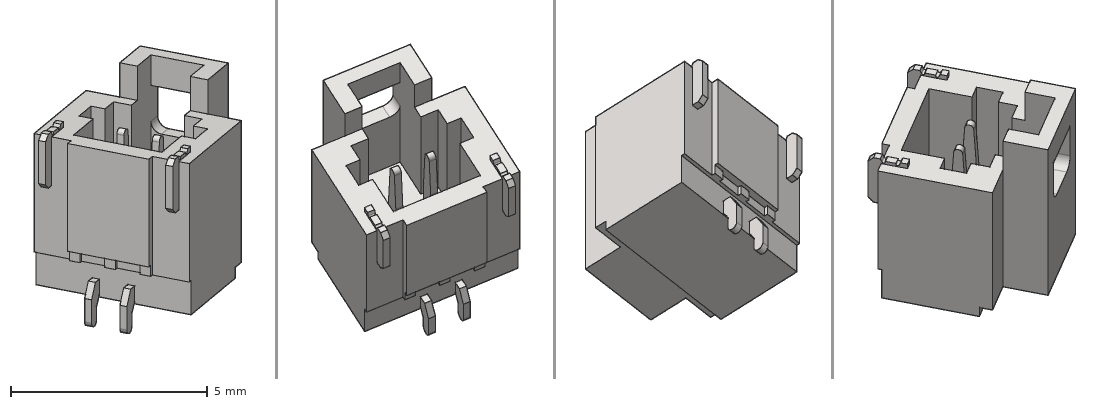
import cadquery as cq


body_width = 4.4
body_depth = 3.05
body_top = 4.25
base_setback = 0.1
base_back = 2.7
base_top = 0.95
skirt_bottom = 0.3
tower_width = 2.5
tower_back = 4.25
tower_top = 5.2

wall = 0.35
cavity_floor = base_top
cavity_width = tower_width
cavity_back = base_back
key_slot_width = 3.3
key_slot_front = 1.5
key_slot_back = 2.2
latch_slot_width = 1.5
latch_slot_back = 3.85

window_bottom = 3.05
window_top = 4.35
window_corner_radius = 0.3

pad_width = 2.3
pad_height = 0.2
pad_bottom = 1.25
block_count = 3
block_width = 0.3
block_height = 0.1
block_pitch = (pad_width - block_width) / (block_count - 1)

solder_plane = -0.35
stamping_width = 0.2

tab_spacing = 3.6
tab_bottom = 2.9
tab_back = 0.7
tab_top = body_top + 0.15
tab_chamfer = 0.15
tab_middle_top = body_top + 0.1
groove_bottom = body_top + 0.035
groove_tangent = body_top + 0.06
groove_centre_line = 0.2525
groove_inner = 0.1475
groove_lowest = 0.1925
groove_slope_end = 0.2275
groove_outer = 0.2725

contact_pitch = 1.0
pin_centre_y = 1.67
pin_depth = 0.4
pin_tip_radius = 0.12
pin_tip = 4.05
pin_taper_start = 2.6
arm_bottom = 0.05
arm_top = 0.5
foot_shoulder = -0.13
foot_face_top = 0.1
foot_inner = solder_plane + 0.3
foot_inner_top = -0.2
foot_end = -0.7


def block(width, y_front, y_back, z_bottom, z_top, x_centre=0):
    """Box centred on x_centre, given by its Y and Z limits."""
    size = (width, y_back - y_front, z_top - z_bottom)
    solid = cq.Workplane("XY").box(*size, centered=(True, False, False))
    return solid.translate((x_centre, y_front, z_bottom))


def stamp(profile, x_centre):
    """Give a closed YZ profile the sheet thickness, centred on x_centre."""
    return profile.extrude(stamping_width / 2, both=True).translate((x_centre, 0, 0))


def pair_positions(spacing):
    return [-spacing / 2, spacing / 2]


def make_shell():
    body = block(body_width, 0, body_depth, skirt_bottom, body_top)
    front_undercut = block(body_width, 0, base_setback, skirt_bottom, base_top)
    base = block(body_width, base_setback, base_back, 0, base_top)
    tower = block(tower_width, body_depth, tower_back, skirt_bottom, tower_top)
    return body.cut(front_undercut).union(base).union(tower)


def make_cavity():
    main = block(cavity_width, wall, cavity_back, cavity_floor, tower_top)
    key_slots = block(key_slot_width, key_slot_front, key_slot_back, cavity_floor, tower_top)
    latch_slot = block(latch_slot_width, cavity_back, latch_slot_back, cavity_floor, tower_top)
    return main.union(key_slots).union(latch_slot)


def make_window():
    window = block(latch_slot_width, latch_slot_back, tower_back, window_bottom, window_top)
    return window.edges("|Y and <Z").fillet(window_corner_radius)


def make_front_pad():
    pad = block(pad_width, -pad_height, 0, pad_bottom, body_top)
    for index in range(block_count):
        x = (index - (block_count - 1) / 2) * block_pitch
        pad = pad.union(block(block_width, -block_height, 0, base_top, pad_bottom, x))
    return pad


def make_tab(x_centre):
    """Bent tab lying on the top and front faces, with two grooves across its top."""
    middle = groove_centre_line
    profile = (
        cq.Workplane("YZ")
        .moveTo(tab_back, body_top)
        .lineTo(tab_back, tab_top)
        .lineTo(middle + groove_outer, tab_top)
        .lineTo(middle + groove_slope_end, groove_tangent)
        .threePointArc((middle + groove_lowest, groove_bottom), (middle + groove_inner, tab_middle_top))
        .lineTo(middle - groove_inner, tab_middle_top)
        .threePointArc((middle - groove_lowest, groove_bottom), (middle - groove_slope_end, groove_tangent))
        .lineTo(middle - groove_outer, tab_top)
        .lineTo(solder_plane + tab_chamfer, tab_top)
        .lineTo(solder_plane, tab_top - tab_chamfer)
        .lineTo(solder_plane, tab_bottom + tab_chamfer)
        .lineTo(solder_plane + tab_chamfer, tab_bottom)
        .lineTo(0, tab_bottom)
        .lineTo(0, body_top)
        .close()
    )
    return stamp(profile, x_centre)


def make_contact(x_centre):
    """Tapered pin in the cavity, an arm through the base and a bent solder foot."""
    pin_front = pin_centre_y - pin_depth / 2
    pin_back = pin_centre_y + pin_depth / 2
    tip_side_z = pin_tip - pin_tip_radius
    foot_radius = (foot_inner - solder_plane) / 2
    profile = (
        cq.Workplane("YZ")
        .moveTo(pin_back, arm_bottom)
        .lineTo(pin_back, pin_taper_start)
        .lineTo(pin_centre_y + pin_tip_radius, tip_side_z)
        .threePointArc((pin_centre_y, pin_tip), (pin_centre_y - pin_tip_radius, tip_side_z))
        .lineTo(pin_front, pin_taper_start)
        .lineTo(pin_front, arm_top)
        .lineTo(foot_shoulder, arm_top)
        .lineTo(solder_plane, foot_face_top)
        .lineTo(solder_plane, foot_end + foot_radius)
        .threePointArc((solder_plane + foot_radius, foot_end), (foot_inner, foot_end + foot_radius))
        .lineTo(foot_inner, foot_inner_top)
        .lineTo(base_setback, arm_bottom)
        .close()
    )
    return stamp(profile, x_centre)


contacts = [make_contact(x) for x in pair_positions(contact_pitch)]

housing = make_shell().cut(make_cavity()).cut(make_window()).union(make_front_pad())
for tab_x in pair_positions(tab_spacing):
    housing = housing.union(make_tab(tab_x))
for contact in contacts:
    housing = housing.cut(contact)

result = cq.Compound.makeCompound([housing.val(), *[contact.val() for contact in contacts]])